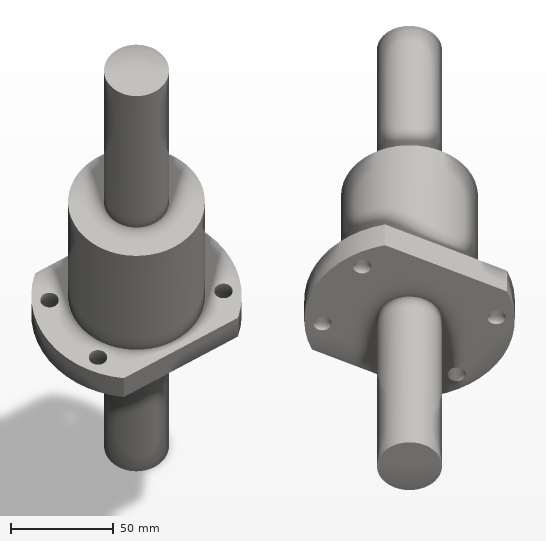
import cadquery as cq
import math

shaft_length = 300.0
shaft_diameter = 31.8

nut_length = 90.0
barrel_diameter = 67.0
flange_diameter = 103.0
flange_width = 78.0
flange_thickness = 15.0

hole_diameter = 9.0
hole_circle_diameter = 85.2
hole_angle = math.radians(60)
hole_spacing_x = hole_circle_diameter * math.cos(hole_angle)
hole_spacing_y = hole_circle_diameter * math.sin(hole_angle)

nut_bottom = -nut_length / 2


def make_shaft():
    """Plain round shaft."""
    return cq.Workplane("XY").circle(shaft_diameter / 2).extrude(shaft_length / 2, both=True)


def make_nut():
    """Round barrel on a flange with two flat sides, bored to fit the shaft."""
    base = cq.Workplane("XY").workplane(offset=nut_bottom)
    barrel = base.circle(barrel_diameter / 2).extrude(nut_length)
    disc = base.circle(flange_diameter / 2).extrude(flange_thickness)
    flats = base.rect(flange_width, flange_diameter).extrude(flange_thickness)
    holes = base.rect(hole_spacing_x, hole_spacing_y, forConstruction=True).vertices()
    holes = holes.circle(hole_diameter / 2).extrude(flange_thickness)
    bore = base.circle(shaft_diameter / 2).extrude(nut_length)
    return disc.intersect(flats).union(barrel).cut(holes).cut(bore)


shaft = make_shaft()
nut = make_nut()

result = cq.Compound.makeCompound([shaft.val(), nut.val()])